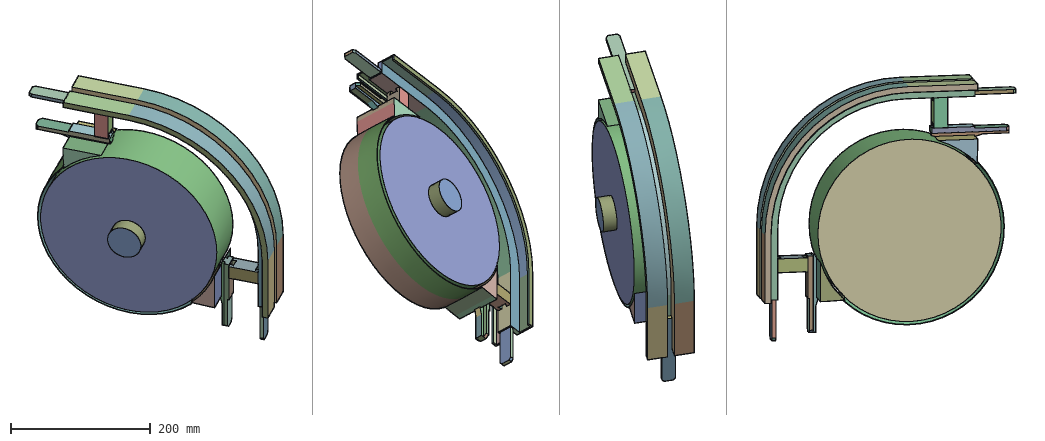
import cadquery as cq
import math


overall_size = 370.5

wheel_radius = 133.5
wheel_half_width = 36.3
axle_radius = 25.2
axle_reach = 56.5

strip_half_width = 35.0
strip_crown_radius = 139.0
strip_edge_radius = 138.5
strip_edge_thickness = 0.7
strip_root_radius = 129.5
strip_end_angle = 137.0
strip_sweep = 2 * (225.0 - strip_end_angle)

rail_radius = 210.0
rail_half_width = 34.5
rail_straight = 100.0
rail_skin = 2.5
lip_depth = 9.0
lip_thickness = 3.0
web_depth = 22.5
web_half_width = 12.0
slot_half_width = 5.0
slot_depth = 20.5
web_radius = rail_radius - web_depth
slot_radius = rail_radius - slot_depth

tongue_half_width = 10.2
tongue_thickness = 5.5
rail_tongue_end = overall_size - rail_radius
tray_tongue_end = 150.8
tongue_chamfer_length = 4.5
rail_tongue_chamfer = 3.0
tray_tongue_chamfer = 5.2

post_left = -60.5
post_width = 20.5
post_right = post_left + post_width
post_half_width = 11.5
dovetail_height = 5.5
dovetail_wide_half = 6.5
dovetail_narrow_half = 4.0

tray_top = 143.0
tray_end = -37.8
tray_bottom = 135.2
rib_bottom = 130.8
rib_half_width = 5.0
gusset_start = -112.5
gusset_bottom = 127.0
shoe_top = 129.5
shoe_bend = 120.5
shoe_tip_x = -99.0
shoe_radius = 136.5
shoe_half_width = 35.0
shoe_tip_z = math.sqrt(shoe_radius**2 - shoe_tip_x**2)


def box(x_range, y_range, z_range):
    """Box between the given pairs of limits."""
    (x0, x1), (y0, y1), (z0, z1) = x_range, y_range, z_range
    return cq.Workplane("XY").box(x1 - x0, y1 - y0, z1 - z0, centered=False).translate((x0, y0, z0))


def centred_prism(points, half_width):
    """Prism of an XZ outline, symmetric about y = 0."""
    return cq.Workplane("XZ").polyline(points).close().extrude(half_width, both=True)


def make_wheel():
    """Disc with its axle stub and the crowned strip on its rim."""
    disc = cq.Workplane("XZ").circle(wheel_radius).extrude(wheel_half_width, both=True)
    axle = cq.Workplane("XZ").circle(axle_radius).extrude(axle_reach)
    strip = (
        cq.Workplane("XY")
        .polyline([
            (strip_root_radius, 0),
            (strip_edge_radius - strip_edge_thickness, strip_half_width),
            (strip_edge_radius, strip_half_width),
            (strip_crown_radius, 0),
            (strip_edge_radius, -strip_half_width),
            (strip_edge_radius - strip_edge_thickness, -strip_half_width),
        ])
        .close()
        .revolve(strip_sweep, (0, 0, 0), (0, -1, 0))
        .rotate((0, 0, 0), (0, 1, 0), -strip_end_angle)
    )
    return disc.union(axle).union(strip)


def rail_band(inner, outer, y_from, y_to):
    """Quarter ring with a straight run at each end, between two radii and two Y limits."""
    diagonal = math.sqrt(0.5)
    return (
        cq.Workplane("XZ", origin=(0, y_to, 0))
        .moveTo(-rail_straight, outer)
        .lineTo(0, outer)
        .threePointArc((outer * diagonal, outer * diagonal), (outer, 0))
        .lineTo(outer, -rail_straight)
        .lineTo(inner, -rail_straight)
        .lineTo(inner, 0)
        .threePointArc((inner * diagonal, inner * diagonal), (0, inner))
        .lineTo(-rail_straight, inner)
        .close()
        .extrude(y_to - y_from)
    )


def make_rail():
    """Two lipped channels joined by the floor of the slot between them."""
    skin = rail_band(rail_radius - rail_skin, rail_radius, slot_half_width, rail_half_width)
    lip = rail_band(rail_radius - lip_depth, rail_radius, rail_half_width - lip_thickness, rail_half_width)
    web = rail_band(web_radius, rail_radius, slot_half_width, web_half_width)
    channel = skin.union(lip).union(web)
    floor = rail_band(web_radius, slot_radius, -slot_half_width, slot_half_width)
    return floor.union(channel).union(channel.mirror("XZ"))


def tongue(end, root_x, top, tip_chamfer):
    """Flat tongue pointing to -X with its two tip corners cut off."""
    shoulder_x = tongue_chamfer_length - end
    tip_half_width = tongue_half_width - tip_chamfer
    return (
        cq.Workplane("XY", origin=(0, 0, top - tongue_thickness))
        .polyline([
            (root_x, -tongue_half_width),
            (shoulder_x, -tongue_half_width),
            (-end, -tip_half_width),
            (-end, tip_half_width),
            (shoulder_x, tongue_half_width),
            (root_x, tongue_half_width),
        ])
        .close()
        .extrude(tongue_thickness)
    )


def post_dovetail():
    """Dovetail slot through the post in X, open at the post's lower end."""
    return (
        cq.Workplane("YZ", origin=(post_left, 0, tray_top))
        .polyline([
            (-dovetail_narrow_half, 0),
            (dovetail_narrow_half, 0),
            (dovetail_wide_half, dovetail_height),
            (-dovetail_wide_half, dovetail_height),
        ])
        .close()
        .extrude(post_width)
    )


def make_post():
    """Rectangular post from tray to rail, with a dovetail slot through each end."""
    post = box((post_left, post_right), (-post_half_width, post_half_width), (tray_top, web_radius))
    lower_dovetail = post_dovetail()
    upper_dovetail = lower_dovetail.mirror("XY", (0, 0, (tray_top + web_radius) / 2))
    return post.cut(lower_dovetail).cut(upper_dovetail)


def make_tray():
    """Tray block on a central rib with its tongue, and the gusset where the rib meets the shoe."""
    block = box((-rail_straight, tray_end), (-tongue_half_width, tongue_half_width), (tray_bottom, tray_top))
    plate = tongue(tray_tongue_end, -rail_straight, tray_bottom + tongue_thickness, tray_tongue_chamfer)
    rib = centred_prism(
        [
            (-tray_tongue_end, tray_bottom),
            (-tray_tongue_end, rib_bottom),
            (gusset_start, rib_bottom),
            (-rail_straight, gusset_bottom),
            (tray_end, gusset_bottom),
            (tray_end, tray_bottom),
        ],
        rib_half_width,
    )
    return block.union(plate).union(rib)


def make_shoe():
    """Full-width block under the tray, before its underside is hollowed to clear the wheel."""
    return centred_prism(
        [
            (-rail_straight, shoe_top),
            (-rail_straight, shoe_bend),
            (shoe_tip_x, shoe_tip_z),
            (tray_end, shoe_tip_z),
            (tray_end, shoe_top),
        ],
        shoe_half_width,
    )


def make_arm():
    """Everything at the left end of the rail: tongue laid in the slot, post, tray and shoe."""
    rail_tongue = tongue(rail_tongue_end, post_right, slot_radius + tongue_thickness, rail_tongue_chamfer)
    clearance = cq.Workplane("XZ").circle(shoe_radius).extrude(wheel_half_width, both=True)
    support = make_tray().union(make_shoe()).cut(clearance)
    return support.union(make_post()).union(rail_tongue)


def make_frame():
    """Rail with an arm at each end, the second mirrored about the plane x = z."""
    rail = make_rail()
    arm = make_arm()
    lower_arm = arm.mirror(cq.Vector(1, 0, -1))
    return rail.union(arm).union(lower_arm)


wheel = make_wheel()
frame = make_frame()

result = cq.Compound.makeCompound([*wheel.solids().vals(), *frame.solids().vals()])